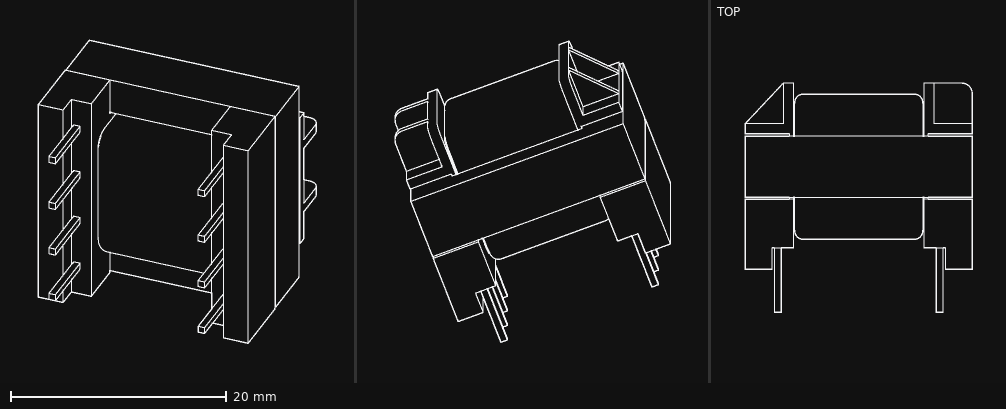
import cadquery as cq


half_width = 10.55
inner_face = 6.05

core_height = 20.9
core_depth = 5.7
window_height = 13.8
window_half_width = 6.45

winding_half_length = 5.95
winding_size = 13.5
winding_side_radius = 2.0
winding_end_radius = 0.8

block_start_y = -3.0
ledge_start_y = 3.05
wall_thickness = 0.95
tube_size = 11.8
tube_corner_radius = 1.2

block_height = 21.1
block_step_y = -7.53
block_end_y = -9.53
block_step_x = 8.05

pin_size = 0.65
pin_end_y = -13.52
pin_x = 7.5
pin_pitch = 5.0
pins_per_side = 4
pin_root = 1.0

ledge_end_y = 4.0
rear_end_y = 7.78
rear_corner_radius = 1.0
rib_thickness = 0.95
rib_center_z = 3.47


def box(x_range, y_range, z_range):
    """Axis-aligned box; each range may be given in either order."""
    lows = [min(r) for r in (x_range, y_range, z_range)]
    sizes = [abs(r[1] - r[0]) for r in (x_range, y_range, z_range)]
    return cq.Workplane("XY").box(*sizes, centered=False).translate(tuple(lows))


def centered(size):
    return (-size / 2, size / 2)


def make_core():
    """Rectangular core frame around the winding."""
    frame = cq.Workplane("XY").box(2 * half_width, core_depth, core_height)
    window = cq.Workplane("XY").box(2 * window_half_width, core_depth, window_height)
    return frame.cut(window)


def make_winding():
    """Solid winding block with rounded sides and softened ends."""
    block = cq.Workplane("XY").box(2 * winding_half_length, winding_size, winding_size)
    rounded = block.edges("|X").fillet(winding_side_radius)
    return rounded.faces("<X or >X").edges().fillet(winding_end_radius)


def make_tube():
    """Bobbin tube inside the winding that joins the two bobbin plates."""
    tube = cq.Workplane("XY").box(2 * inner_face, tube_size, tube_size)
    return tube.edges("|X").fillet(tube_corner_radius)


def make_flange(side):
    """Thin bobbin plate that fills the end of the core window."""
    return box(
        (side * inner_face, side * window_half_width),
        (block_start_y, ledge_start_y),
        centered(window_height),
    )


def make_pin_block(side):
    """Stepped bar along Z that carries one row of pins."""
    outline = [
        (side * inner_face, block_start_y),
        (side * half_width, block_start_y),
        (side * half_width, block_end_y),
        (side * block_step_x, block_end_y),
        (side * block_step_x, block_step_y),
        (side * inner_face, block_step_y),
    ]
    return cq.Workplane("XY").polyline(outline).close().extrude(block_height / 2, both=True)


def make_pin(side, z):
    x_center = side * pin_x
    return box(
        (x_center - pin_size / 2, x_center + pin_size / 2),
        (pin_end_y, block_step_y + pin_root),
        (z - pin_size / 2, z + pin_size / 2),
    )


def make_rear_wall(side):
    """Ledge behind the core and the upright wall with rounded rear corners."""
    ledge = box(
        (side * inner_face, side * half_width),
        (ledge_start_y, ledge_end_y),
        centered(window_height),
    )
    wall = box(
        (side * inner_face, side * (inner_face + wall_thickness)),
        (ledge_start_y, rear_end_y),
        centered(window_height),
    )
    wall = wall.faces(">Y").edges("|X").fillet(rear_corner_radius)
    return ledge.union(wall)


def make_rib(side, z):
    """Rib on the ledge: triangular on the -X side, square with a round corner on the +X side."""
    root_x = side * inner_face
    tip_x = side * half_width
    if side < 0:
        outline = [
            (root_x, ledge_start_y),
            (tip_x, ledge_start_y),
            (tip_x, ledge_end_y),
            (side * (inner_face + wall_thickness), rear_end_y),
            (root_x, rear_end_y),
        ]
        profile = cq.Workplane("XY").polyline(outline).close()
        rib = profile.extrude(rib_thickness / 2, both=True)
    else:
        rib = box((root_x, tip_x), (ledge_start_y, rear_end_y), centered(rib_thickness))
        rib = rib.edges("|Z and >X and >Y").fillet(rear_corner_radius)
    return rib.translate((0, 0, z))


def make_bobbin_side(side):
    """One end of the bobbin: plate, pin block with its pins, rear wall and ribs."""
    bobbin = make_flange(side).union(make_pin_block(side)).union(make_rear_wall(side))
    for z in (-rib_center_z, rib_center_z):
        bobbin = bobbin.union(make_rib(side, z))
    for index in range(pins_per_side):
        pin_z = (index - (pins_per_side - 1) / 2) * pin_pitch
        bobbin = bobbin.union(make_pin(side, pin_z))
    return bobbin


result = make_core().union(make_winding()).union(make_tube())
for bobbin_side in (-1, 1):
    result = result.union(make_bobbin_side(bobbin_side))